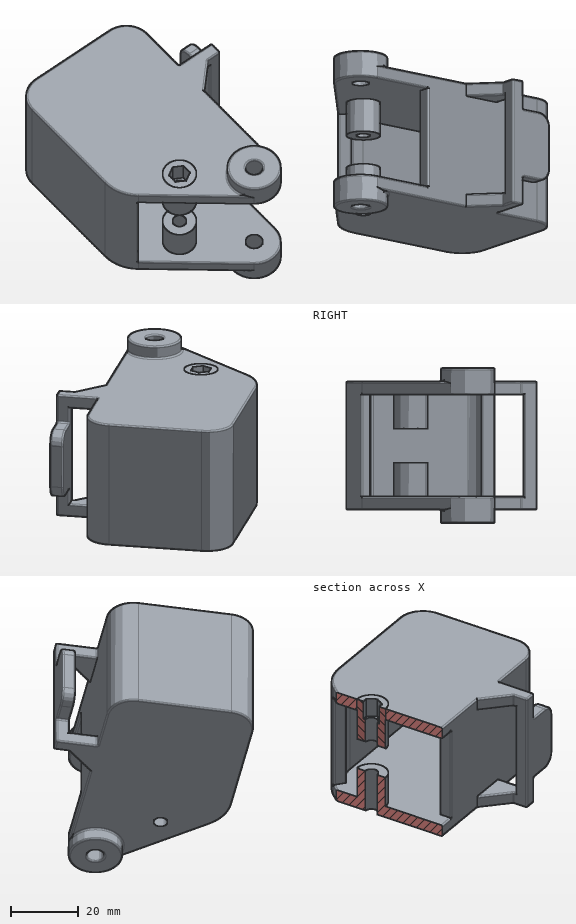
import cadquery as cq
import math


length = 76.0
box_depth = 44.0
box_height = 38.0
overall_height = 46.0
boss_height = (overall_height - box_height) / 2
wall = boss_height
corner_radius = 2 * wall
edge_radius = 0.5

boss_radius = 2 * wall
pivot_hole_diameter = 5.1
pivot_x = length - boss_radius
pivot_y = -boss_radius

slope_angle = math.radians(50.0)
front_arc_radius = 13.0
slope_normal = (math.sin(slope_angle), -math.cos(slope_angle))
front_arc_y = front_arc_radius - box_depth
front_arc_x = pivot_x + (
    boss_radius - front_arc_radius - (front_arc_y - pivot_y) * slope_normal[1]
) / slope_normal[0]

latch_left = 22.9
latch_width = wall
latch_reach = 12.5
gusset_size = 7.75
latch_right = latch_left + latch_width
tab_left = 12.85
tab_height = 20.75
tab_radius = wall

post_x = 53.8
post_y = -24.9
post_radius = 5.0
post_length = 14.0
screw_hole_diameter = 4.1
hex_across_flats = 5.5
hex_depth = 6.1

half_height = box_height / 2
plate_inner_z = half_height - wall
arc_middle = edge_radius * (1 - math.sqrt(0.5))


def on_circle(x, y, radius, direction):
    """Point at the given radius from (x, y) along a unit direction."""
    return (x + radius * direction[0], y + radius * direction[1])


lip_outer = on_circle(front_arc_x, front_arc_y, front_arc_radius, slope_normal)
lip_inner = on_circle(front_arc_x, front_arc_y, front_arc_radius - wall, slope_normal)


def box_outline(inset):
    """Box and pivot-end outline on the mid plane, moved inward by inset."""
    left = inset
    back = -inset
    front = inset - box_depth
    corner = corner_radius - inset
    arc = front_arc_radius - inset
    end = boss_radius - inset
    diagonal = math.sqrt(0.5)
    half_normal = (math.sin(slope_angle / 2), -math.cos(slope_angle / 2))
    return (
        cq.Workplane("XY")
        .moveTo(left + corner, back)
        .lineTo(pivot_x, back)
        .threePointArc(
            (pivot_x + end, pivot_y),
            on_circle(pivot_x, pivot_y, end, slope_normal),
        )
        .lineTo(*on_circle(front_arc_x, front_arc_y, arc, slope_normal))
        .threePointArc(
            on_circle(front_arc_x, front_arc_y, arc, half_normal),
            (front_arc_x, front),
        )
        .lineTo(left + corner, front)
        .threePointArc(
            on_circle(left + corner, front + corner, corner, (-diagonal, -diagonal)),
            (left, front + corner),
        )
        .lineTo(left, back - corner)
        .threePointArc(
            on_circle(left + corner, back - corner, corner, (-diagonal, diagonal)),
            (left + corner, back),
        )
        .close()
    )


def latch_arms():
    """Latch arm and gusset over the full height, rooted in the box."""
    return (
        cq.Workplane("XY")
        .polyline(
            [
                (latch_left, -wall),
                (latch_left, latch_reach),
                (latch_right, latch_reach),
                (latch_right, gusset_size),
                (latch_right + gusset_size, 0),
                (latch_right + gusset_size, -wall),
            ]
        )
        .close()
        .extrude(half_height, both=True)
    )


def latch_window():
    """Gap between the latch arms, from the back of the box to the cross bar."""
    return cq.Workplane("XY").box(
        length, latch_reach - wall, 2 * plate_inner_z, centered=(False, False, True)
    )


def latch_tab():
    """Tab reaching left from the cross bar, with round free corners."""
    return (
        cq.Workplane("XY")
        .box(latch_right - tab_left, wall, tab_height, centered=(False, False, True))
        .edges("<X and |Y")
        .fillet(tab_radius)
        .translate((tab_left, latch_reach - wall, 0))
    )


def side_opening():
    """Gap between the plates to the right of the walls."""
    beyond = on_circle(*lip_outer, wall, slope_normal)
    return (
        cq.Workplane("XY")
        .polyline(
            [
                beyond,
                lip_inner,
                (lip_inner[0], wall),
                (length + wall, wall),
                (length + wall, beyond[1]),
            ]
        )
        .close()
        .extrude(plate_inner_z, both=True)
    )


def edges_near(low, high):
    """Selector for edges centred in the box from low to high, grown by a small margin."""
    margin = 0.1
    return cq.selectors.BoxSelector(
        tuple(value - margin for value in low),
        tuple(value + margin for value in high),
    )


def rounded_blank():
    """Box, plates and latch loop with rounded edges, before the cavity is cut."""
    bar_inner_y = latch_reach - wall
    blank = (
        box_outline(0)
        .extrude(half_height, both=True)
        .union(latch_arms())
        .cut(latch_window())
        .cut(side_opening())
        .union(latch_tab())
    )
    free_plate_rims = edges_near(
        (lip_outer[0] + edge_radius, -box_depth, -plate_inner_z), (length, 0, plate_inner_z)
    )
    arm_corners = edges_near((latch_left, 0, -half_height), (latch_left, 0, half_height))
    loop = edges_near(
        (latch_left, edge_radius, -half_height), (length, latch_reach, half_height)
    )
    selected = arm_corners + loop
    for z in (-half_height, half_height):
        selected += edges_near((0, -box_depth, z), (length, latch_reach, z))
    for y in (bar_inner_y, latch_reach):
        selected += edges_near((tab_left, y, -tab_height), (latch_left, y, tab_height))
    for z in (-plate_inner_z, plate_inner_z):
        selected -= edges_near((latch_left, bar_inner_y, z), (latch_right, bar_inner_y, z))
    return blank.edges(free_plate_rims).fillet(edge_radius).edges(selected).fillet(edge_radius)


def corner_trim(x, y, angle):
    """Cutter that rounds a square wall corner at (x, y).

    The angle, in degrees, is the direction from the corner into the wall.
    """
    centre = edge_radius * math.sqrt(2)
    half_side = edge_radius * math.sqrt(0.5)
    return (
        cq.Workplane("XY")
        .moveTo(0, 0)
        .lineTo(half_side, half_side)
        .threePointArc((centre - edge_radius, 0), (half_side, -half_side))
        .close()
        .extrude(plate_inner_z, both=True)
        .rotate((0, 0, 0), (0, 0, 1), angle)
        .translate((x, y, 0))
    )


def shell():
    """Hollow box with rounded wall ends."""
    slope_degrees = math.degrees(slope_angle)
    back_outer = (lip_inner[0], 0)
    back_inner = (lip_inner[0], -wall)
    cavity = box_outline(wall).extrude(plate_inner_z, both=True)
    return (
        rounded_blank()
        .cut(cavity)
        .cut(corner_trim(*lip_outer, slope_degrees + 135))
        .cut(corner_trim(*lip_inner, slope_degrees + 225))
        .cut(corner_trim(*back_outer, 225))
        .cut(corner_trim(*back_inner, 135))
    )


def boss_foot():
    """Concave fillet around the foot of the upper boss, kept on the flat of the plate."""
    ring = (
        cq.Workplane("XZ")
        .moveTo(boss_radius - edge_radius, 0)
        .lineTo(boss_radius + edge_radius, 0)
        .threePointArc((boss_radius + arc_middle, arc_middle), (boss_radius, edge_radius))
        .lineTo(boss_radius - edge_radius, edge_radius)
        .close()
        .revolve(360, (0, 0, 0), (0, 1, 0))
        .translate((pivot_x, pivot_y, 0))
    )
    plate_flat = box_outline(edge_radius).extrude(boss_height)
    return ring.intersect(plate_flat).translate((0, 0, half_height))


def pivot_boss():
    """Upper boss, running down through the plate to its rounded inner rim."""
    return (
        cq.Workplane("XY", origin=(pivot_x, pivot_y, plate_inner_z + edge_radius))
        .circle(boss_radius)
        .extrude(wall - edge_radius + boss_height)
        .faces(">Z")
        .edges()
        .fillet(edge_radius)
        .union(boss_foot())
    )


def pivot_hole():
    """Hole through both bosses, flared by a rounding at the outer ends."""
    top = half_height + boss_height
    bore = pivot_hole_diameter / 2
    mouth = bore + edge_radius
    profile = (
        cq.Workplane("XZ")
        .moveTo(0, 0)
        .lineTo(bore, 0)
        .lineTo(bore, top - edge_radius)
        .threePointArc((bore + arc_middle, top - arc_middle), (mouth, top))
        .lineTo(0, top)
        .close()
    )
    upper = profile.revolve(360, (0, 0, 0), (0, 1, 0)).translate((pivot_x, pivot_y, 0))
    return upper.union(upper.mirror("XY"))


def screw_post():
    """Plain post reaching inward from the outer face of the upper plate."""
    return (
        cq.Workplane("XY", origin=(post_x, post_y, half_height - post_length))
        .circle(post_radius)
        .extrude(post_length)
    )


def screw_hole():
    """Clearance hole along the post axis through the whole height."""
    return (
        cq.Workplane("XY", origin=(post_x, post_y, 0))
        .circle(screw_hole_diameter / 2)
        .extrude(half_height, both=True)
    )


def make_housing():
    """Shell with latch loop and bosses; the lower post is part of it."""
    boss = pivot_boss()
    return (
        shell()
        .union(boss)
        .union(boss.mirror("XY"))
        .union(screw_post().mirror("XY"))
        .cut(pivot_hole())
        .cut(screw_post())
        .cut(screw_hole())
    )


def make_nut_post():
    """Separate upper post, flush with the plate, with a hexagonal nut pocket on top."""
    hex_across_corners = hex_across_flats / math.cos(math.radians(30))
    nut_pocket = (
        cq.Workplane("XY", origin=(post_x, post_y, half_height - hex_depth))
        .polygon(6, hex_across_corners)
        .extrude(hex_depth)
    )
    return screw_post().cut(screw_hole()).cut(nut_pocket)


housing = make_housing()
nut_post = make_nut_post()

result = cq.Compound.makeCompound([housing.solids().val(), nut_post.solids().val()])